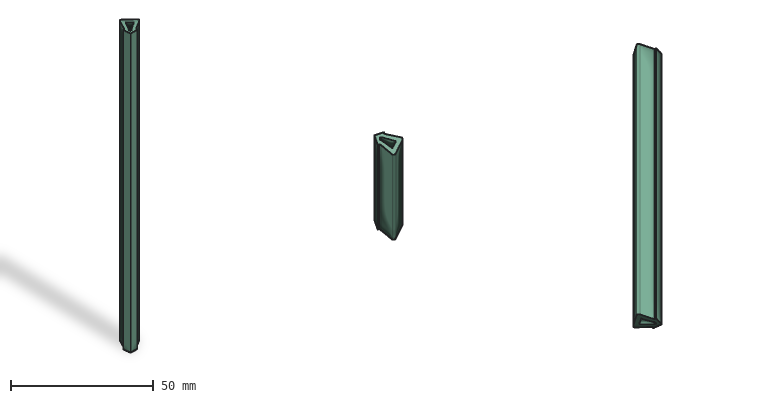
import cadquery as cq
import math

length = 131.0
width = 8.9

flange_width = 3.5
flange_edge = 0.5
root_run = 3.9
root_rise = 0.9
round_radius = 0.8
round_rise = 4.3

bore_wall = 1.5
bore_flat = 0.7
bore_far_run = 6.4
bore_far_rise = 4.5


def mirrored(point):
    """Reflect a profile point across the diagonal symmetry line."""
    x, y = point
    return (-y, -x)


round_center = (round_radius - width, round_rise)


def on_round(angle):
    """Point on the rounded end at an angle in radians from +X."""
    return (
        round_center[0] + round_radius * math.cos(angle),
        round_center[1] + round_radius * math.sin(angle),
    )


center_run = -round_center[0] - root_run
center_rise = round_rise - root_rise
center_distance = math.hypot(center_run, center_rise)
arm_slope = math.atan2(center_rise, center_run) - math.asin(round_radius / center_distance)

arm_normal = 1.5 * math.pi - arm_slope
face_normal = 0.75 * math.pi
flange_tip = (-flange_width, 0)
flange_back = (-flange_width, flange_edge)
arm_root = (-root_run, root_rise)
arm_end = on_round(arm_normal)
round_middle = on_round((arm_normal + face_normal) / 2)
face_end = on_round(face_normal)

body = (
    cq.Workplane("XY")
    .moveTo(0, 0)
    .lineTo(*flange_tip)
    .lineTo(*flange_back)
    .lineTo(*arm_root)
    .lineTo(*arm_end)
    .threePointArc(round_middle, face_end)
    .lineTo(*mirrored(face_end))
    .threePointArc(mirrored(round_middle), mirrored(arm_end))
    .lineTo(*mirrored(arm_root))
    .lineTo(*mirrored(flange_back))
    .lineTo(*mirrored(flange_tip))
    .close()
    .extrude(length)
)

bore_corner = (-bore_wall, bore_wall)
bore_near = (-bore_wall - bore_flat, bore_wall)
bore_far = (-bore_far_run, bore_far_rise)
bore_points = [bore_corner, bore_near, bore_far, mirrored(bore_far), mirrored(bore_near)]
bore = cq.Workplane("XY").polyline(bore_points).close().extrude(length)

result = body.cut(bore)